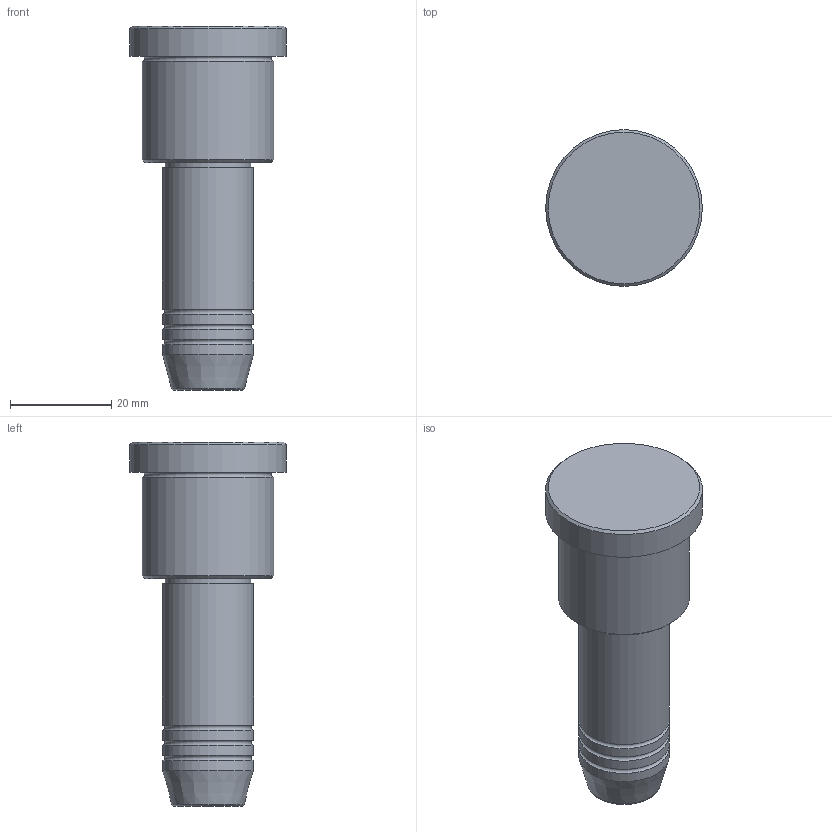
import cadquery as cq
import math

total_length = 72.0

head_radius = 31.0 / 2
head_height = 6.0
head_chamfer = 0.5

body_radius = 26.0 / 2
body_length = 21.0
body_chamfer = 0.5

neck_radius = 17.0 / 2
neck_length = 1.0

shank_radius = 18.0 / 2
taper_length = 7.0
taper_angle = 15.0
tip_fillet = 0.5

groove_radius = 0.5
groove_count = 3
groove_pitch = 3.0
lowest_groove_height = 9.5

head_bottom = total_length - head_height
body_bottom = head_bottom - body_length
shank_top = body_bottom - neck_length
undercut_height = head_bottom - groove_radius


def cylinder(radius, bottom, top):
    """Solid cylinder on the Z axis between two heights."""
    return cq.Workplane("XY").workplane(offset=bottom).circle(radius).extrude(top - bottom)


def make_head():
    return cylinder(head_radius, head_bottom, total_length).faces(">Z").chamfer(head_chamfer)


def make_body():
    return cylinder(body_radius, body_bottom, head_bottom).faces("<Z").chamfer(body_chamfer)


def make_shank():
    return cylinder(shank_radius, taper_length, shank_top)


def make_tip():
    """Truncated cone that narrows towards z = 0, with a rounded end."""
    tip_radius = shank_radius - taper_length * math.tan(math.radians(taper_angle))
    cone = (
        cq.Workplane("XZ")
        .polyline([(0, 0), (tip_radius, 0), (shank_radius, taper_length), (0, taper_length)])
        .close()
        .revolve(360, (0, 0), (0, 1))
    )
    return cone.faces("<Z").fillet(tip_fillet)


def round_groove(radius, height):
    """Torus cutter whose section is centred on the surface of a cylinder of the given radius."""
    return (
        cq.Workplane("XZ")
        .center(radius, height)
        .circle(groove_radius)
        .revolve(360, (-radius, 0), (-radius, 1))
    )


result = make_head().union(make_body())
result = result.union(cylinder(neck_radius, shank_top, body_bottom))
result = result.union(make_shank()).union(make_tip())

result = result.cut(round_groove(body_radius, undercut_height))

for groove_index in range(groove_count):
    groove_height = lowest_groove_height + groove_index * groove_pitch
    result = result.cut(round_groove(shank_radius, groove_height))